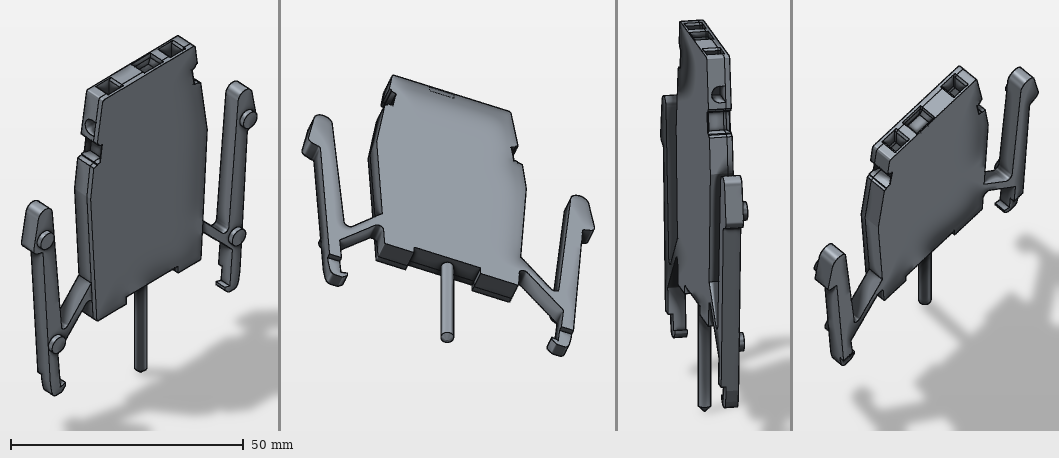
import cadquery as cq
import math


total_thickness = 5.0
housing_thickness = 3.9
cover_thickness = total_thickness - housing_thickness

block_top = 83.95
block_bottom = 24.0
block_top_half_width = 13.7
block_top_radius = 0.7
shoulder_z = 58.8
shoulder_half_width = 17.3
block_bottom_half_width = 15.45
foot_radius = 0.3

foot_step_z = 25.9
foot_step_left_y = 8.65
foot_step_right_y = -6.7

arm_corner_radius = 1.1
hook_top_z = 14.3
hook_inset = 1.1
hook_relief_width = 10.1
hook_center_y = 26.0

boss_radius = 2.0
boss_centers = [(30.05, 54.2), (26.7, 23.75)]

pin_radius = (housing_thickness - hook_inset) / 2
pin_x = hook_inset + pin_radius

seat_depth = 1.3
seat_rim = 0.2
seat_floor_inset = 0.6
left_seat_wall = [(12.85, 77.6), (13.5, 73.3)]
right_seat_wall = [(-13.85, 71.7), (-14.4, 67.3)]

funnel_center_y = 9.2
funnel_length = 4.5
funnel_lead_in = 0.5
funnel_depth = 5.0
funnel_x = (0.5, 4.4)

socket_mouth_x = (0.25, 4.4)
socket_mouth_y = (-0.7, 4.95)
socket_floor_x = (0.7, 4.0)
socket_floor_y = (0.2, 3.95)
socket_straight_depth = 1.3
socket_taper_depth = 1.0

opening_z = 75.9
opening_radius = 1.8
opening_center_x = 2.6
opening_depth = 4.2

overlap = 0.8


def slab(corners, x_start, thickness):
    """Extrude along X an outline of (y, z, corner radius) points with tangent arcs."""
    rounded_corners = []
    count = len(corners)
    for i, (y, z, radius) in enumerate(corners):
        corner = cq.Vector(y, z)
        to_last = (cq.Vector(*corners[i - 1][:2]) - corner).normalized()
        to_next = (cq.Vector(*corners[(i + 1) % count][:2]) - corner).normalized()
        half_angle = to_last.getAngle(to_next) / 2
        setback = radius / math.tan(half_angle)
        bisector = (to_last + to_next).normalized()
        middle = corner + bisector * (radius / math.sin(half_angle) - radius)
        arc_start = corner + to_last * setback
        arc_end = corner + to_next * setback
        rounded_corners.append((arc_start, middle, arc_end, radius))

    def yz(point):
        return (point.x, point.y)

    outline = cq.Workplane("YZ", origin=(x_start, 0, 0)).moveTo(*yz(rounded_corners[0][2]))
    for start, middle, end, radius in rounded_corners[1:] + rounded_corners[:1]:
        outline = outline.lineTo(*yz(start))
        if radius > 0:
            outline = outline.threePointArc(yz(middle), yz(end))
    return outline.close().extrude(thickness)


def block_side_y(z):
    """Half width of the block on its straight lower flank."""
    fraction = (z - block_bottom) / (shoulder_z - block_bottom)
    return block_bottom_half_width + fraction * (shoulder_half_width - block_bottom_half_width)


def block(x_start, thickness):
    """Plate with the block outline: two marker notches with stepped lips and a stepped foot."""
    left_notch = [
        (14.35, 78.7), (13.85, 78.4), (13.85, 78.1),
        *left_seat_wall,
        (14.8, 73.2), (14.8, 72.9), (15.4, 72.7),
    ]
    right_notch = [
        (-15.4, 72.8), (-14.9, 72.5), (-14.9, 72.2),
        *right_seat_wall,
        (-15.3, 67.25), (-15.3, 67.0), (-16.4, 66.7),
    ]
    corners = [
        (block_top_half_width, block_top, block_top_radius),
        *[(y, z, 0) for y, z in left_notch],
        (shoulder_half_width, shoulder_z, 0),
        (block_bottom_half_width, block_bottom, foot_radius),
        (foot_step_left_y, block_bottom, 0),
        (foot_step_left_y, foot_step_z, foot_radius),
        (foot_step_right_y, foot_step_z, 0),
        (foot_step_right_y, block_bottom, 0),
        (-block_bottom_half_width, block_bottom, foot_radius),
        (-shoulder_half_width, shoulder_z, 0),
        *[(y, z, 0) for y, z in reversed(right_notch)],
        (-block_top_half_width, block_top, block_top_radius),
    ]
    return slab(corners, x_start, thickness)


def wire_funnel(side):
    """Deep slot with sloped lead-ins at both ends."""
    half_mouth = funnel_length / 2
    half_slot = half_mouth - funnel_lead_in
    center = side * funnel_center_y
    corners = [
        (center - half_mouth, block_top, 0),
        (center - half_slot, block_top - funnel_lead_in, 0),
        (center - half_slot, block_top - funnel_depth, 0),
        (center + half_slot, block_top - funnel_depth, 0),
        (center + half_slot, block_top - funnel_lead_in, 0),
        (center + half_mouth, block_top, 0),
    ]
    return slab(corners, funnel_x[0], funnel_x[1] - funnel_x[0])


def rectangle(x_range, y_range, z):
    """Closed horizontal rectangle at height z."""
    (x0, x1), (y0, y1) = x_range, y_range
    points = [(x0, y0), (x1, y0), (x1, y1), (x0, y1)]
    return cq.Wire.makePolygon([cq.Vector(x, y, z) for x, y in points], close=True)


def socket():
    """Rectangular recess with a straight mouth and a tapered bottom."""
    taper_z = block_top - socket_straight_depth
    floor_z = taper_z - socket_taper_depth
    mouth = rectangle(socket_mouth_x, socket_mouth_y, block_top)
    taper_top = rectangle(socket_mouth_x, socket_mouth_y, taper_z)
    floor = rectangle(socket_floor_x, socket_floor_y, floor_z)
    straight = cq.Workplane(cq.Solid.makeLoft([mouth, taper_top], True))
    tapered = cq.Workplane(cq.Solid.makeLoft([taper_top, floor], True))
    return straight.union(tapered)


def marker_seat(wall, outward):
    """Recess behind a notch wall whose two X sides slope in toward its floor."""
    def frame(rim, offset):
        x0, x1 = rim, total_thickness - rim
        (top_y, top_z), (low_y, low_z) = wall
        shift = outward * offset
        points = [(x0, low_y, low_z), (x1, low_y, low_z), (x1, top_y, top_z), (x0, top_y, top_z)]
        return cq.Wire.makePolygon([cq.Vector(x, y + shift, z) for x, y, z in points], close=True)

    mouth = frame(seat_rim, 0)
    floor = frame(seat_floor_inset, -seat_depth)
    return cq.Workplane(cq.Solid.makeLoft([mouth, floor], True))


def cut_shared_openings(plate):
    for side in (1, -1):
        plate = plate.cut(wire_funnel(side))
    plate = plate.cut(socket())
    plate = plate.cut(marker_seat(left_seat_wall, 1))
    return plate.cut(marker_seat(right_seat_wall, -1))


def side_opening():
    """Horizontal round-ended opening that runs in from the -Y edge."""
    outer_y = -shoulder_half_width
    length = shoulder_half_width - block_top_half_width + opening_depth
    round_end = (
        cq.Workplane("XZ", origin=(opening_center_x, outer_y, opening_z))
        .circle(opening_radius)
        .extrude(-length)
    )
    slot_width = housing_thickness - opening_center_x
    straight = (
        cq.Workplane()
        .box(slot_width, length, 2 * opening_radius, centered=(False, False, True))
        .translate((opening_center_x, outer_y, opening_z))
    )
    return round_end.union(straight)


def latch_arm():
    """Latch arm on the +Y flank: head, hook, slanted strut and two round bosses."""
    strut_root_z = 34.25
    web_z = 31.3
    web_end_z = 27.7
    root_y = block_side_y(web_end_z) - overlap
    corners = [
        (block_side_y(strut_root_z), strut_root_z, 0),
        (24.6, 24.5, arm_corner_radius),
        (28.9, 76.4, 2.1),
        (33.25, 51.55, 1.4),
        (30.3, 50.6, 0.7),
        (28.1, 13.3, 0),
        (27.7, 10.7, 0),
        (27.2, 9.1, 1.3),
        (24.8, 9.1, 0.7),
        (23.6, 10.2, 0.25),
        (23.6, 11.1, 0),
        (25.1, 10.7, 0),
        (25.85, 20.2, 0.7),
        (block_side_y(web_z), web_z, arm_corner_radius),
        (block_side_y(web_end_z), web_end_z, 0),
        (root_y, web_end_z, 0),
        (root_y, strut_root_z, 0),
    ]
    arm = slab(corners, 0, housing_thickness)
    hook_relief = (
        cq.Workplane()
        .box(hook_inset, hook_relief_width, hook_top_z, centered=(False, True, False))
        .translate((0, hook_center_y, 0))
    )
    bosses = (
        cq.Workplane("YZ", origin=(housing_thickness - overlap, 0, 0))
        .pushPoints(boss_centers)
        .circle(boss_radius)
        .extrude(cover_thickness + overlap)
    )
    return arm.cut(hook_relief).union(bosses)


def make_housing():
    plate = cut_shared_openings(block(0, housing_thickness)).cut(side_opening())
    arm = latch_arm()
    return plate.union(arm).union(arm.mirror("XZ")).clean()


def make_cover():
    return cut_shared_openings(block(housing_thickness, cover_thickness))


def make_pin():
    """Round contact pin with a conical point, standing on the foot step."""
    return (
        cq.Workplane("XZ", origin=(pin_x, 0, 0))
        .polyline([(0, 0), (pin_radius, pin_radius), (pin_radius, foot_step_z), (0, foot_step_z)])
        .close()
        .revolve(360, (0, 0), (0, 1))
    )


housing = make_housing()
cover = make_cover()
pin = make_pin()
result = cq.Compound.makeCompound([housing.solids().val(), cover.solids().val(), pin.val()])